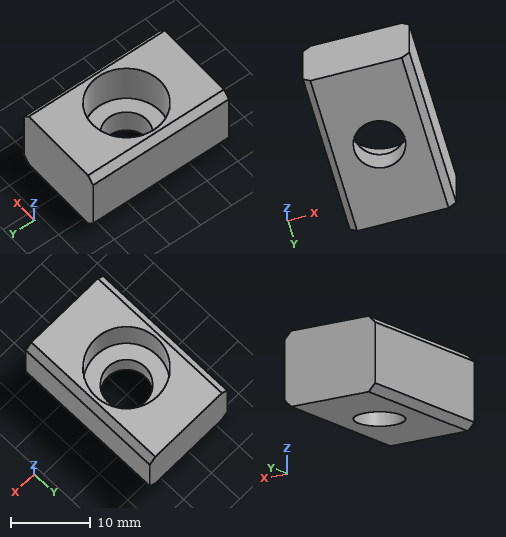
import cadquery as cq

width = 14.0
length = 22.0
height = 10.0
edge_chamfer = 1.0

hole_diameter = 6.6
counterbore_diameter = 11.0
counterbore_depth = 6.2


def chamfered_block():
    """Block with its four long edges chamfered."""
    return cq.Workplane("XY").box(width, length, height).edges("|Y").chamfer(edge_chamfer)


def add_counterbored_hole(block):
    """Through hole along Z, counterbored from the top face."""
    return block.faces(">Z").workplane().cboreHole(hole_diameter, counterbore_diameter, counterbore_depth)


result = add_counterbored_hole(chamfered_block())